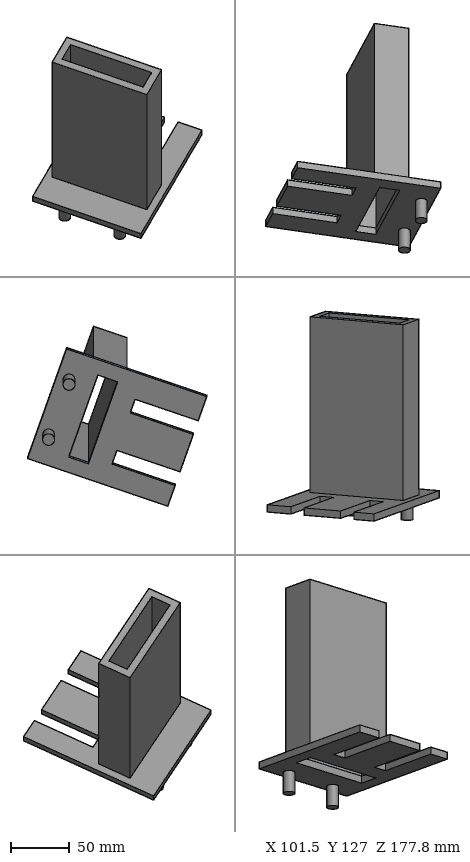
import cadquery as cq

PLATE_WIDTH = 101.5
PLATE_DEPTH = 127.0
PLATE_THICKNESS = 6.4

SLOT_WIDTH = 12.6
SLOT_FRONT_Y = 69.9
SLOT_LEFT_EDGES = (19.2, 66.5)

TOTAL_HEIGHT = 177.8
PIN_LENGTH = 19.0
TUBE_HEIGHT = TOTAL_HEIGHT - PIN_LENGTH - PLATE_THICKNESS
WALL = 6.4
TUBE_WIDTH = PLATE_WIDTH - 2 * WALL
TUBE_DEPTH = 30.5
TUBE_FRONT_Y = 26.5
TUBE_CENTER = (PLATE_WIDTH / 2, TUBE_FRONT_Y + TUBE_DEPTH / 2)
OPENING_WIDTH = TUBE_WIDTH - 2 * WALL
OPENING_DEPTH = TUBE_DEPTH - 2 * WALL

PIN_DIAMETER = 10.1
PIN_CENTERS = ((25.6, 10.1), (76.8, 10.8))


def make_block(width, depth, height, center, bottom):
    """Upright block centred on a point in X and Y."""
    return (
        cq.Workplane("XY", origin=(*center, bottom))
        .rect(width, depth)
        .extrude(height)
    )


def make_pin(center):
    """Pin that runs from the top face of the plate to below it."""
    return (
        cq.Workplane("XY", origin=(*center, -PIN_LENGTH))
        .circle(PIN_DIAMETER / 2)
        .extrude(PIN_LENGTH + PLATE_THICKNESS)
    )


def make_base():
    """Slotted plate with the tube's passage and its two pins."""
    base = cq.Workplane("XY").box(PLATE_WIDTH, PLATE_DEPTH, PLATE_THICKNESS, centered=False)

    slot_length = PLATE_DEPTH - SLOT_FRONT_Y
    for left_edge in SLOT_LEFT_EDGES:
        center = (left_edge + SLOT_WIDTH / 2, SLOT_FRONT_Y + slot_length / 2)
        base = base.cut(make_block(SLOT_WIDTH, slot_length, PLATE_THICKNESS, center, 0))

    base = base.cut(make_block(OPENING_WIDTH, OPENING_DEPTH, PLATE_THICKNESS, TUBE_CENTER, 0))

    for center in PIN_CENTERS:
        base = base.union(make_pin(center), clean=False)
    return base


def make_tube():
    """Rectangular tube, open at both ends, resting on the plate."""
    outside = make_block(TUBE_WIDTH, TUBE_DEPTH, TUBE_HEIGHT, TUBE_CENTER, PLATE_THICKNESS)
    opening = make_block(OPENING_WIDTH, OPENING_DEPTH, TUBE_HEIGHT, TUBE_CENTER, PLATE_THICKNESS)
    return outside.cut(opening)


base = make_base()
tube = make_tube()

result = cq.Compound.makeCompound([base.solids().val(), tube.solids().val()])